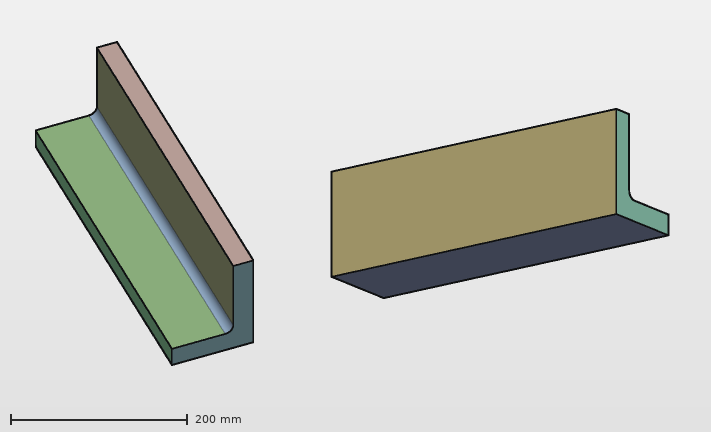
import cadquery as cq

length = 400.0
base_width = 100.0
wall_height = 125.0
thickness = 25.0
root_radius = 10.0

wall_back = base_width / 2
wall_face = wall_back - thickness
base_edge = -base_width / 2

section = (
    cq.Workplane("YZ")
    .moveTo(base_edge, 0)
    .lineTo(wall_back, 0)
    .lineTo(wall_back, wall_height)
    .lineTo(wall_face, wall_height)
    .lineTo(wall_face, thickness + root_radius)
    .radiusArc((wall_face - root_radius, thickness), root_radius)
    .lineTo(base_edge, thickness)
    .close()
)

result = section.extrude(length / 2, both=True)